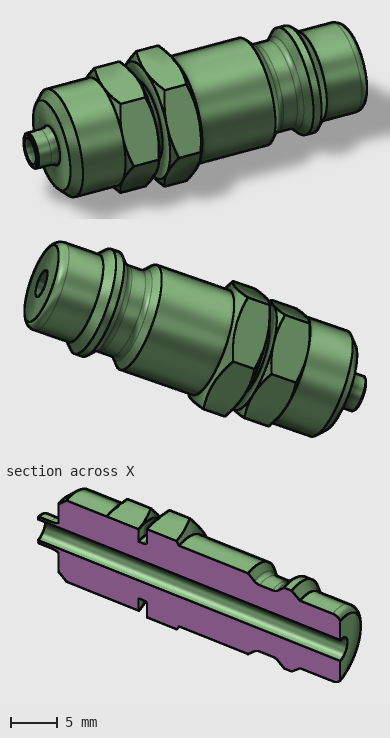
import cadquery as cq
import math

spigot_flare_start = 1.6
nut_front = 2.5
nut_hex_front = 8.5
nut_hex_back = 12.5
neck_fillet_start = 13.05
body_hex_front = 13.5
body_hex_back = 17.5
groove_front = 26.05
groove_back = 30.52
collar_back = 31.45
nose_front = 32.5
total_length = 37.5

bore_radius = 1.5
spigot_radius = 2.0
spigot_root_radius = 2.2
nut_radius = 6.0
neck_radius = 4.2
neck_root_radius = 4.5
body_radius = 5.95
groove_radius = 4.9
nose_radius = 5.0
nose_end_radius = 4.35

body_hex_flats = 13.0
nut_hex_flats = 2 * nut_radius
hex_chamfer_angle = 30.0

spigot_chamfer = 0.15
nut_chamfer = 1.0
nose_round_length = 0.95
groove_fillet = 0.9


def bulge_point(tangent_point, end_point):
    """Middle of an arc that leaves tangent_point parallel to Y and reaches end_point."""
    radial_step = end_point[0] - tangent_point[0]
    axial_step = end_point[1] - tangent_point[1]
    arc_radius = (radial_step**2 + axial_step**2) / (2 * abs(radial_step))
    half_angle = math.atan2(abs(radial_step), abs(axial_step))
    radial_move = math.copysign(arc_radius * (1 - math.cos(half_angle)), radial_step)
    axial_move = math.copysign(arc_radius * math.sin(half_angle), axial_step)
    return (tangent_point[0] + radial_move, tangent_point[1] + axial_move)


def revolve_about_y(profile):
    return profile.close().revolve(360, (0, 0, 0), (0, 1, 0))


def turned_core():
    """Spigot, nut barrel, neck, body, groove, collar and nose as one revolved profile."""
    flare_start = (spigot_radius, spigot_flare_start)
    flare_end = (spigot_root_radius, nut_front)
    neck_start = (neck_radius, neck_fillet_start)
    neck_end = (neck_root_radius, body_hex_front)

    blend_rise = groove_fillet * (1 - math.cos(math.pi / 4))
    blend_run = groove_fillet * math.sin(math.pi / 4)
    blend_radius = groove_radius + blend_rise
    wall_run = body_radius - blend_radius
    front_blend_wall = (blend_radius, groove_front + wall_run)
    front_blend_floor = (groove_radius, groove_front + wall_run + blend_run)
    back_blend_wall = (blend_radius, groove_back - wall_run)
    back_blend_floor = (groove_radius, groove_back - wall_run - blend_run)

    nose_round_start = (nose_radius, total_length - nose_round_length)
    nose_round_end = (nose_end_radius, total_length)

    return revolve_about_y(
        cq.Workplane("XY")
        .moveTo(0, 0)
        .lineTo(spigot_radius - spigot_chamfer, 0)
        .lineTo(spigot_radius, spigot_chamfer)
        .lineTo(*flare_start)
        .threePointArc(bulge_point(flare_start, flare_end), flare_end)
        .lineTo(nut_radius - nut_chamfer, nut_front)
        .lineTo(nut_radius, nut_front + nut_chamfer)
        .lineTo(nut_radius, nut_hex_back)
        .lineTo(neck_radius, nut_hex_back)
        .lineTo(*neck_start)
        .threePointArc(bulge_point(neck_start, neck_end), neck_end)
        .lineTo(body_radius, body_hex_front)
        .lineTo(body_radius, groove_front)
        .lineTo(*front_blend_wall)
        .threePointArc(bulge_point(front_blend_floor, front_blend_wall), front_blend_floor)
        .lineTo(*back_blend_floor)
        .threePointArc(bulge_point(back_blend_floor, back_blend_wall), back_blend_wall)
        .lineTo(body_radius, groove_back)
        .lineTo(body_radius, collar_back)
        .lineTo(nose_radius, nose_front)
        .lineTo(*nose_round_start)
        .threePointArc(bulge_point(nose_round_start, nose_round_end), nose_round_end)
        .lineTo(0, total_length)
    )


def chamfered_hex(flats, front, back, front_radius, back_radius):
    """Hexagon along Y, corners on X, with conical end chamfers starting at the given radii."""
    corner_radius = flats / math.sqrt(3)
    slope = math.tan(math.radians(hex_chamfer_angle))
    prism = (
        cq.Workplane("XZ", origin=(0, front, 0))
        .polygon(6, 2 * corner_radius)
        .extrude(front - back)
    )
    envelope = revolve_about_y(
        cq.Workplane("XY")
        .moveTo(0, front)
        .lineTo(front_radius, front)
        .lineTo(corner_radius, front + (corner_radius - front_radius) * slope)
        .lineTo(corner_radius, back - (corner_radius - back_radius) * slope)
        .lineTo(back_radius, back)
        .lineTo(0, back)
    )
    return prism.intersect(envelope)


def through_bore():
    return cq.Workplane("XZ").circle(bore_radius).extrude(-total_length)


body_hex = chamfered_hex(body_hex_flats, body_hex_front, body_hex_back, body_hex_flats / 2, body_radius)
nut_hex = chamfered_hex(nut_hex_flats, nut_hex_front, nut_hex_back, nut_radius, nut_radius)

result = turned_core().union(body_hex).union(nut_hex).cut(through_bore())